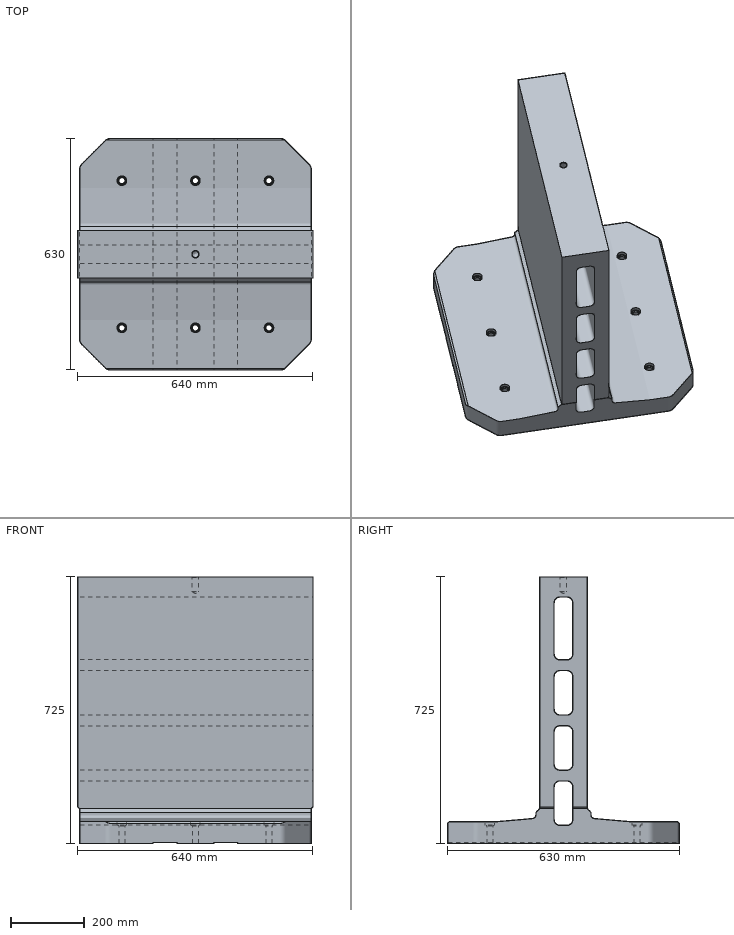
import cadquery as cq
import math

BASE_SIZE = 630.0
BASE_THICKNESS = 60.0
BASE_EDGE_CHAMFER = 5.0
CORNER_CUT = 76.0
CORNER_RADIUS = 20.0

SLOPE_START_Y = 180.0
SLOPE_ANGLE = 5.0
FOOT_HALF_WIDTH = 75.0
FOOT_TOP_Z = 95.0
FOOT_FILLET = 10.0

WALL_LENGTH = 640.0
WALL_THICKNESS = 130.0
TOTAL_HEIGHT = 725.0

WINDOW_WIDTH = 50.0
WINDOW_RADIUS = 15.0
WINDOW_GAP = 30.0
FIRST_WINDOW_Z = 50.0
WINDOW_HEIGHTS = (120.0, 120.0, 120.0, 170.0)

HOLE_SPACING_X = 200.0
HOLE_ROW_Y = 200.0
HOLE_DIAMETER = 16.5
HOLE_CHAMFER = 2.5
COUNTERBORE_DIAMETER = 26.0
COUNTERBORE_DEPTH = 10.0

LIFTING_HOLE_DIAMETER = 17.5
LIFTING_HOLE_DEPTH = 40.0
LIFTING_HOLE_CHAMFER = 1.25
DRILL_POINT_ANGLE = 118.0

GROOVE_WIDTH = 65.0
GROOVE_DEPTH = 3.0
GROOVE_X = 82.5


def make_base():
    """Base plate and foot: one cross-section swept along X, with cut and rounded corners."""
    half_base = BASE_SIZE / 2
    half_wall = WALL_THICKNESS / 2
    foot_chamfer = FOOT_HALF_WIDTH - half_wall
    slope_rise = (SLOPE_START_Y - FOOT_HALF_WIDTH) * math.tan(math.radians(SLOPE_ANGLE))
    foot_bottom_z = BASE_THICKNESS + slope_rise

    right_side = [
        (half_base, 0),
        (half_base, BASE_THICKNESS - BASE_EDGE_CHAMFER),
        (half_base - BASE_EDGE_CHAMFER, BASE_THICKNESS),
        (SLOPE_START_Y, BASE_THICKNESS),
        (FOOT_HALF_WIDTH, foot_bottom_z),
        (FOOT_HALF_WIDTH, FOOT_TOP_Z - foot_chamfer),
        (half_wall, FOOT_TOP_Z),
    ]
    left_side = [(-y, z) for y, z in reversed(right_side)]
    section = cq.Workplane("YZ").polyline(right_side + left_side).close().extrude(half_base, both=True)

    pick_size = 1.0
    for side in (-1, 1):
        inner_corner = cq.selectors.BoxSelector(
            (-pick_size, side * FOOT_HALF_WIDTH - pick_size, foot_bottom_z - pick_size),
            (pick_size, side * FOOT_HALF_WIDTH + pick_size, foot_bottom_z + pick_size),
        )
        section = section.edges(inner_corner).fillet(FOOT_FILLET)

    plan = (
        cq.Workplane("XY")
        .rect(BASE_SIZE, BASE_SIZE)
        .extrude(FOOT_TOP_Z)
        .edges("|Z")
        .chamfer(CORNER_CUT)
        .edges("|Z")
        .fillet(CORNER_RADIUS)
    )
    return section.intersect(plan)


def make_wall():
    """Upright wall, slightly longer than the base, bevelled at both ends to meet the foot."""
    end_bevel = (WALL_LENGTH - BASE_SIZE) / 2
    wall = cq.Workplane("XY").box(
        WALL_LENGTH, WALL_THICKNESS, TOTAL_HEIGHT - FOOT_TOP_Z, centered=(True, True, False)
    )
    wall = wall.edges("|Y and <Z").chamfer(end_bevel)
    return wall.translate((0, 0, FOOT_TOP_Z))


def make_windows():
    """Round-cornered windows stacked up the wall."""
    windows = cq.Workplane("XY")
    bottom_z = FIRST_WINDOW_Z
    for height in WINDOW_HEIGHTS:
        window = (
            cq.Workplane("XY")
            .box(WALL_LENGTH, WINDOW_WIDTH, height, centered=(True, True, False))
            .edges("|X")
            .fillet(WINDOW_RADIUS)
            .translate((0, 0, bottom_z))
        )
        windows = windows.add(window)
        bottom_z += height + WINDOW_GAP
    return windows.combine()


def revolved_tool(outline):
    """Solid of revolution about Z from a half-profile of (radius, Z) points."""
    return cq.Workplane("XZ").polyline(outline).close().revolve(360, (0, 0, 0), (0, 1, 0))


def cut_mounting_holes(body):
    """Two rows of three counterbored through holes, chamfered at the counterbore floor."""
    bore_radius = HOLE_DIAMETER / 2
    counterbore_radius = COUNTERBORE_DIAMETER / 2
    floor_z = BASE_THICKNESS - COUNTERBORE_DEPTH
    tool = revolved_tool([
        (0, 0),
        (bore_radius, 0),
        (bore_radius, floor_z - HOLE_CHAMFER),
        (bore_radius + HOLE_CHAMFER, floor_z),
        (counterbore_radius, floor_z),
        (counterbore_radius, BASE_THICKNESS),
        (0, BASE_THICKNESS),
    ])
    for column in (-1, 0, 1):
        for row in (-1, 1):
            body = body.cut(tool.translate((column * HOLE_SPACING_X, row * HOLE_ROW_Y, 0)))
    return body


def cut_lifting_hole(body):
    """Blind hole with a chamfered mouth in the middle of the wall's top face."""
    radius = LIFTING_HOLE_DIAMETER / 2
    floor_z = TOTAL_HEIGHT - LIFTING_HOLE_DEPTH
    point_depth = radius / math.tan(math.radians(DRILL_POINT_ANGLE / 2))
    tool = revolved_tool([
        (0, floor_z - point_depth),
        (radius, floor_z),
        (radius, TOTAL_HEIGHT - LIFTING_HOLE_CHAMFER),
        (radius + LIFTING_HOLE_CHAMFER, TOTAL_HEIGHT),
        (0, TOTAL_HEIGHT),
    ])
    return body.cut(tool)


def cut_grooves(body):
    """Two shallow grooves along the full depth of the underside."""
    grooves = (
        cq.Workplane("XY")
        .pushPoints([(-GROOVE_X, 0), (GROOVE_X, 0)])
        .rect(GROOVE_WIDTH, BASE_SIZE)
        .extrude(GROOVE_DEPTH)
    )
    return body.cut(grooves)


result = make_base().union(make_wall()).cut(make_windows())
result = cut_mounting_holes(result)
result = cut_lifting_hole(result)
result = cut_grooves(result)